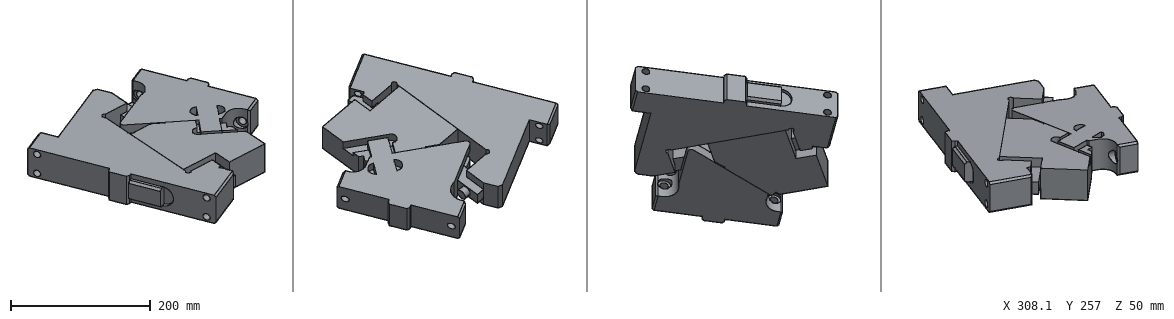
import cadquery as cq
import math

THICKNESS = 50.0
MID_Z = THICKNESS / 2
FAR = 400.0
SLIDE_ANGLE = -25.0
WEDGE_ANGLE = 30.0

END_CHAMFER = 3.0
KEY_WIDTH = 33.0
KEY_HEIGHT = 8.0
KEY_CHAMFER_RUN = 3.0
KEY_CHAMFER_RISE = 4.0

BASE_LENGTH = 295.0
BASE_Y = KEY_HEIGHT
FOOT_TOP_Y = 49.0
SHOULDER_X = 30.0
SHOULDER_CHAMFER = 5.0
LEFT_POST_Y = 178.5
RIGHT_POST_X = 271.0
RIGHT_TOP_Y = 73.5
BASE_KEY_X = 145.0
CROSS_KEY_LENGTH = 50.0
KEYWAY_DEPTH = 5.0
BASE_HOLE_DIAMETER = 11.0
BASE_HOLE_INSET = 15.0
BASE_HOLE_EDGE = 8.25

SLIDE_V = 139.2
POST_TOP_V = 186.0
LEFT_POST_U = 9.5
RIGHT_POST_U = 194.6
RELIEF_RADIUS = 4.0
RELIEF_OFFSET = 2.0

BAR_BOTTOM_V = 173.6
BAR_TOP_V = 199.0
BAR_START_U = -24.0
BAR_END_U = 229.3
BAR_DEPTH = 20.0
BAR_Z0 = MID_Z - BAR_DEPTH / 2
BAR_Z1 = MID_Z + BAR_DEPTH / 2
SCREW_U = -1.9
SCREW_HEAD_DIAMETER = 16.0
SCREW_HEAD_HEIGHT = 10.0

SLIDER_START_U = 70.0
SLIDER_END_U = 214.75
SLIDER_TOP_V = 268.4
NOTCH_U = 184.7
NOTCH_TOP_V = 200.6

WEDGE_N = 46.0
WEDGE_RELIEF = 1.5
WEDGE_RELIEF_END_T = 206.0
STEP_T = 295.1
STEP_N = 36.1

HOOK_START_T = 255.3
HOOK_WIDTH = 30.0
HOOK_TIP_N = 16.8
HOOK_TIP_CLEARANCE = 5.4
HOOK_SIDE_CLEARANCE = 4.5
LIP_POCKET_WIDTH = 15.8
LIP_LOW_N = HOOK_TIP_N - HOOK_TIP_CLEARANCE
LIP_HIGH_N = LIP_LOW_N + LIP_POCKET_WIDTH
NECK_DEPTH = 8.0
LIP_DEPTH = 15.0
NECK_FLOOR_Z = THICKNESS - NECK_DEPTH
LIP_FLOOR_Z = THICKNESS - LIP_DEPTH

DRIVER_LEFT_X = 70.0
DRIVER_LENGTH = 185.0
DRIVER_TOP_Y = 249.0
FLANGE_BOTTOM_Y = 218.3
NECK_LEFT_X = 97.3
NECK_RIGHT_X = 227.0
NECK_RADIUS = 20.0
LEFT_ARC_X = 79.0
DRIVER_KEY_X = 160.0
TIP_RADIUS = 5.0
ROOT_POCKET_N = 68.2
ROOT_POCKET_WIDTH = 20.0
DRIVER_HOLE_DIAMETER = 12.0
COUNTERBORE_DIAMETER = 20.0
COUNTERBORE_DEPTH = 4.0
DRIVER_HOLE_INSET = 12.5


def turned(angle, along, across):
    """XY point whose coordinates are given in a frame turned by angle about the origin."""
    c = math.cos(math.radians(angle))
    s = math.sin(math.radians(angle))
    return (along * c - across * s, along * s + across * c)


def slide(u, v):
    """XY point from its place in the slide frame."""
    return turned(SLIDE_ANGLE, u, v)


def wedge(t, n):
    """XY point from its place in the wedge frame."""
    return turned(WEDGE_ANGLE, t, n)


def plate(points, z0=0.0, z1=THICKNESS):
    return cq.Workplane("XY").workplane(offset=z0).polyline(points).close().extrude(z1 - z0)


def frame_box(frame, a0, a1, b0, b1, z0=0.0, z1=THICKNESS):
    """Box from a0 to a1 and b0 to b1 in the slide or the wedge frame."""
    return plate([frame(a0, b0), frame(a1, b0), frame(a1, b1), frame(a0, b1)], z0, z1)


def disc(center, radius, z0=0.0, z1=THICKNESS):
    return cq.Workplane("XY").workplane(offset=z0).center(*center).circle(radius).extrude(z1 - z0)


def slide_line_x(v, y):
    """X at which the line of constant v in the slide frame crosses y."""
    a = math.radians(SLIDE_ANGLE)
    return (v - y * math.cos(a)) / -math.sin(a)


def slide_line_y(v, x):
    """Y at which the line of constant v in the slide frame crosses x."""
    a = math.radians(SLIDE_ANGLE)
    return (v + x * math.sin(a)) / math.cos(a)


def wedge_face_y(x):
    """Y of the driver's wedge face at x."""
    a = math.radians(WEDGE_ANGLE)
    return (WEDGE_N + x * math.sin(a)) / math.cos(a)


def key_section():
    """Key outline as pairs: across the key's width, out from its root."""
    half = KEY_WIDTH / 2
    return [
        (-half, 0),
        (-half, KEY_HEIGHT - KEY_CHAMFER_RISE),
        (-half + KEY_CHAMFER_RUN, KEY_HEIGHT),
        (half - KEY_CHAMFER_RUN, KEY_HEIGHT),
        (half, KEY_HEIGHT - KEY_CHAMFER_RISE),
        (half, 0),
    ]


def upright_key(x, y, side):
    """Key along Z, standing out of a face at y toward side (+1 or -1)."""
    return plate([(x + a, y + side * b) for a, b in key_section()])


def hole_y(diameter, x, z, y0, y1):
    """Cylinder along Y from y0 to y1."""
    return cq.Workplane("XZ", origin=(x, y0, z)).circle(diameter / 2).extrude(y0 - y1)


def guide_bar():
    """Bar across the posts, with the head of the screw that holds it down."""
    bar = frame_box(slide, BAR_START_U, BAR_END_U, BAR_BOTTOM_V, BAR_TOP_V, BAR_Z0, BAR_Z1)
    seat = cq.Plane((*slide(SCREW_U, BAR_TOP_V), MID_Z), (0, 0, 1), (*slide(0, 1), 0))
    head = cq.Workplane(seat).circle(SCREW_HEAD_DIAMETER / 2).extrude(SCREW_HEAD_HEIGHT)
    return bar.union(head)


def make_base():
    base = plate([
        (0, BASE_Y),
        (BASE_LENGTH, BASE_Y),
        (BASE_LENGTH, RIGHT_TOP_Y),
        (RIGHT_POST_X, RIGHT_TOP_Y),
        (RIGHT_POST_X, slide_line_y(POST_TOP_V, RIGHT_POST_X)),
        slide(RIGHT_POST_U, POST_TOP_V),
        slide(RIGHT_POST_U, SLIDE_V),
        slide(LEFT_POST_U, SLIDE_V),
        slide(LEFT_POST_U, POST_TOP_V),
        (slide_line_x(POST_TOP_V, LEFT_POST_Y), LEFT_POST_Y),
        (SHOULDER_X + SHOULDER_CHAMFER, LEFT_POST_Y),
        (SHOULDER_X, LEFT_POST_Y - SHOULDER_CHAMFER),
        (SHOULDER_X, FOOT_TOP_Y),
        (0, FOOT_TOP_Y),
    ])
    for side in ("<X", ">X"):
        base = base.faces(side).edges("|Y or >Y").chamfer(END_CHAMFER)

    for corner_u, inward in ((LEFT_POST_U, 1), (RIGHT_POST_U, -1)):
        center = slide(corner_u + inward * RELIEF_OFFSET, SLIDE_V + RELIEF_OFFSET)
        base = base.cut(disc(center, RELIEF_RADIUS))

    base = base.union(upright_key(BASE_KEY_X, BASE_Y, -1))

    key_start = BASE_KEY_X + KEY_WIDTH / 2
    key_end = key_start + CROSS_KEY_LENGTH
    keyway_end = (
        cq.Workplane("XZ", origin=(key_end, BASE_Y, MID_Z))
        .moveTo(0, -KEY_WIDTH / 2)
        .threePointArc((KEY_WIDTH / 2, 0), (0, KEY_WIDTH / 2))
        .close()
        .extrude(-KEYWAY_DEPTH)
    )
    base = base.cut(keyway_end)
    cross_key = (
        cq.Workplane("YZ", origin=(key_start, BASE_Y, MID_Z))
        .polyline([(-b, a) for a, b in key_section()])
        .close()
        .extrude(CROSS_KEY_LENGTH)
    )
    base = base.union(cross_key)

    for x in (BASE_HOLE_INSET, BASE_LENGTH - BASE_HOLE_INSET):
        for z in (BASE_HOLE_EDGE, THICKNESS - BASE_HOLE_EDGE):
            base = base.cut(hole_y(BASE_HOLE_DIAMETER, x, z, BASE_Y, RIGHT_TOP_Y))

    return base.union(guide_bar())


def make_slider():
    body = frame_box(slide, SLIDER_START_U, SLIDER_END_U, SLIDE_V, SLIDER_TOP_V)
    body = body.cut(frame_box(slide, NOTCH_U, SLIDER_END_U, SLIDE_V, NOTCH_TOP_V))
    body = body.cut(frame_box(wedge, -FAR, FAR, WEDGE_N, FAR))
    body = body.cut(frame_box(wedge, -FAR, WEDGE_RELIEF_END_T, WEDGE_N - WEDGE_RELIEF, FAR))
    body = body.cut(frame_box(wedge, STEP_T, FAR, STEP_N, FAR))

    body = body.cut(frame_box(slide, -FAR, FAR, BAR_BOTTOM_V, BAR_TOP_V, BAR_Z0, BAR_Z1))

    pocket_start = HOOK_START_T - HOOK_SIDE_CLEARANCE
    neck = frame_box(wedge, pocket_start, FAR, LIP_HIGH_N, WEDGE_N, NECK_FLOOR_Z)
    lip = frame_box(wedge, pocket_start, FAR, LIP_LOW_N, LIP_HIGH_N, LIP_FLOOR_Z)
    round_end = disc(
        wedge(pocket_start, (LIP_LOW_N + LIP_HIGH_N) / 2), LIP_POCKET_WIDTH / 2, LIP_FLOOR_Z
    )
    return body.cut(neck).cut(lip).cut(round_end)


def make_driver():
    right_x = DRIVER_LEFT_X + DRIVER_LENGTH
    arc_y = FLANGE_BOTTOM_Y - NECK_RADIUS
    left_end_y = arc_y - math.sqrt(NECK_RADIUS**2 - (NECK_LEFT_X - LEFT_ARC_X) ** 2)
    right_arc_x = NECK_RIGHT_X + NECK_RADIUS
    diagonal = NECK_RADIUS * math.sqrt(0.5)
    driver = (
        cq.Workplane("XY")
        .moveTo(DRIVER_LEFT_X, DRIVER_TOP_Y)
        .lineTo(DRIVER_LEFT_X, FLANGE_BOTTOM_Y)
        .lineTo(LEFT_ARC_X, FLANGE_BOTTOM_Y)
        .threePointArc((LEFT_ARC_X + diagonal, arc_y + diagonal), (LEFT_ARC_X + NECK_RADIUS, arc_y))
        .radiusArc((NECK_LEFT_X, left_end_y), NECK_RADIUS)
        .lineTo(NECK_LEFT_X, wedge_face_y(NECK_LEFT_X))
        .lineTo(NECK_RIGHT_X, wedge_face_y(NECK_RIGHT_X))
        .lineTo(NECK_RIGHT_X, arc_y)
        .threePointArc((right_arc_x - diagonal, arc_y + diagonal), (right_arc_x, FLANGE_BOTTOM_Y))
        .lineTo(right_x, FLANGE_BOTTOM_Y)
        .lineTo(right_x, DRIVER_TOP_Y)
        .close()
        .extrude(THICKNESS)
    )
    driver = driver.edges("|Z and <Y").fillet(TIP_RADIUS)
    for side in ("<X", ">X"):
        driver = driver.faces(side).edges("|Y or <Y").chamfer(END_CHAMFER)
    driver = driver.union(upright_key(DRIVER_KEY_X, DRIVER_TOP_Y, 1))

    driver = driver.cut(frame_box(slide, -FAR, FAR, -FAR, BAR_TOP_V, BAR_Z0, BAR_Z1))

    for x in (DRIVER_LEFT_X + DRIVER_HOLE_INSET, right_x - DRIVER_HOLE_INSET):
        seat_y = FLANGE_BOTTOM_Y + COUNTERBORE_DEPTH
        driver = driver.cut(hole_y(DRIVER_HOLE_DIAMETER, x, MID_Z, FLANGE_BOTTOM_Y, DRIVER_TOP_Y))
        driver = driver.cut(hole_y(COUNTERBORE_DIAMETER, x, MID_Z, arc_y, seat_y))

    hook_end = HOOK_START_T + HOOK_WIDTH
    for t in (HOOK_START_T, hook_end):
        driver = driver.cut(disc(wedge(t, ROOT_POCKET_N), ROOT_POCKET_WIDTH / 2, LIP_FLOOR_Z))
    hook_root_n = ROOT_POCKET_N + ROOT_POCKET_WIDTH / 2

    hook = frame_box(wedge, HOOK_START_T, hook_end, HOOK_TIP_N, hook_root_n, NECK_FLOOR_Z)
    root_low_n = hook_root_n - ROOT_POCKET_WIDTH
    root = frame_box(wedge, HOOK_START_T, hook_end, root_low_n, hook_root_n, LIP_FLOOR_Z)
    lip = frame_box(wedge, HOOK_START_T, hook_end, HOOK_TIP_N, LIP_HIGH_N, LIP_FLOOR_Z)
    return driver.union(hook).union(root).union(lip)


base = make_base()
slider = make_slider()
driver = make_driver()
result = cq.Compound.makeCompound([base.val(), slider.val(), driver.val()])